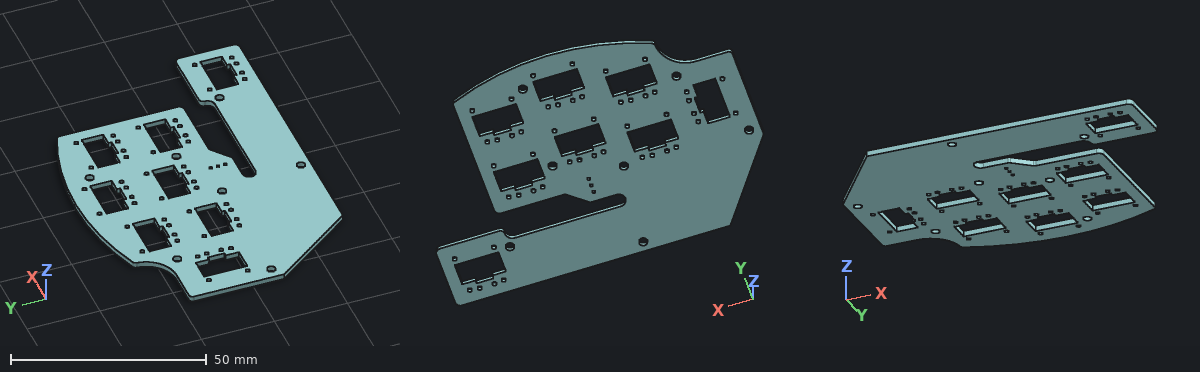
import cadquery as cq
import math

length = 90.5
thickness = 1.6
corner_radius = 1.0
arm_corner_radius = 1.45

shoulder_y = 48.3
sweep_radius = 8.3
sweep_x = 9.6
neck_x = sweep_x + sweep_radius
neck_y = shoulder_y + sweep_radius
crown_y = 62.1
body_right = 72.4
body_bottom = 22.3
bevel_x = 16.65
bevel_y = 22.5

gap_left = 39.5
gap_bottom = 14.4
gap_top = 17.9
gap_radius = (gap_top - gap_bottom) / 2
ramp_start_x = 48.4
ramp_end_x = 53.65

arm_top = 17.55
step_x = 71.9
step_height = arm_top - gap_bottom
step_outer_radius = 1.2
step_inner_radius = step_height - step_outer_radius

column_pitch = 18.0
row_pitch = 17.0
first_column_x = 27.0
first_row_y = 31.3
column_rises = [0.0, 4.7, 0.0]
rows = 2
wing_switch = (9.5, 36.0)
thumb_switch = (81.2, 8.8)

window_width = 11.8
window_height = 5.9
tab_width = 4.5
tab_depth = 0.9
pin_diameter = 1.1
pin_pairs = [(10.6, 4.7), (9.1, -5.2), (4.0, -5.4)]

screw_diameter = 2.2
screw_points = [
    (3.2, 24.9),
    (15.65, 45.8),
    (36.8, 25.2),
    (39.3, 2.7),
    (54.0, 31.1),
    (54.0, 54.8),
    (71.9, 12.3),
]
header_diameter = 0.75
header_pitch = 2.0
header_x = 46.5
header_y = 22.6
header_pins = 3


def upright_edges(plate, points):
    """Upright edges of the plate that stand at the given points."""
    selectors = [cq.selectors.NearestToPointSelector((x, y, thickness / 2)) for x, y in points]
    return [plate.edges("|Z").edges(selector).val() for selector in selectors]


def make_plate():
    """Plate outline with its arcs and rounded corners."""
    diagonal_reach = sweep_radius * math.sin(math.radians(45))
    sweep_mid = (sweep_x + diagonal_reach, neck_y - diagonal_reach)
    crown_top = ((neck_x + body_right) / 2, crown_y)
    plate = (
        cq.Workplane("XY")
        .moveTo(bevel_x, 0)
        .lineTo(length, 0)
        .lineTo(length, arm_top)
        .lineTo(step_x + step_outer_radius, arm_top)
        .tangentArcPoint((-step_outer_radius, -step_outer_radius))
        .tangentArcPoint((-step_inner_radius, -step_inner_radius))
        .lineTo(gap_left + gap_radius, gap_bottom)
        .threePointArc((gap_left, gap_bottom + gap_radius), (gap_left + gap_radius, gap_top))
        .lineTo(ramp_start_x, gap_top)
        .lineTo(ramp_end_x, body_bottom)
        .lineTo(body_right, body_bottom)
        .lineTo(body_right, neck_y)
        .threePointArc(crown_top, (neck_x, neck_y))
        .threePointArc(sweep_mid, (sweep_x, shoulder_y))
        .lineTo(0, shoulder_y)
        .lineTo(0, bevel_y)
        .close()
        .extrude(thickness)
    )
    for radius, points in (
        (arm_corner_radius, [(length, 0), (length, arm_top), (body_right, body_bottom)]),
        (corner_radius, [(0, shoulder_y), (neck_x, neck_y), (body_right, neck_y)]),
        (corner_radius, [(ramp_start_x, gap_top), (ramp_end_x, body_bottom)]),
    ):
        plate = plate.newObject(upright_edges(plate, points)).fillet(radius)
    return plate


def make_pins(points, diameter):
    """Upright round cutters through the plate at the given points."""
    return cq.Workplane("XY").pushPoints(points).circle(diameter / 2).extrude(thickness)


def make_switch_cutter():
    """Switch window with its tab and pin holes, centred on the origin."""
    cutter = cq.Workplane("XY").rect(window_width, window_height).extrude(thickness)
    tab = (
        cq.Workplane("XY")
        .center(0, -window_height / 2)
        .rect(tab_width, 2 * tab_depth)
        .extrude(thickness)
    )
    cutter = cutter.union(tab)
    for spacing, height in pin_pairs:
        pins = [(-spacing / 2, height), (spacing / 2, height)]
        cutter = cutter.union(make_pins(pins, pin_diameter))
    return cutter


result = make_plate()

switch = make_switch_cutter()
for column, rise in enumerate(column_rises):
    for row in range(rows):
        x = first_column_x + column * column_pitch
        y = first_row_y + row * row_pitch + rise
        result = result.cut(switch.translate((x, y, 0)))
result = result.cut(switch.translate((*thumb_switch, 0)))
quarter_turned_switch = switch.rotate((0, 0, 0), (0, 0, 1), 90)
result = result.cut(quarter_turned_switch.translate((*wing_switch, 0)))

header_start_y = header_y - header_pitch * (header_pins - 1) / 2
header_points = [(header_x, header_start_y + i * header_pitch) for i in range(header_pins)]
result = result.cut(make_pins(screw_points, screw_diameter))
result = result.cut(make_pins(header_points, header_diameter))